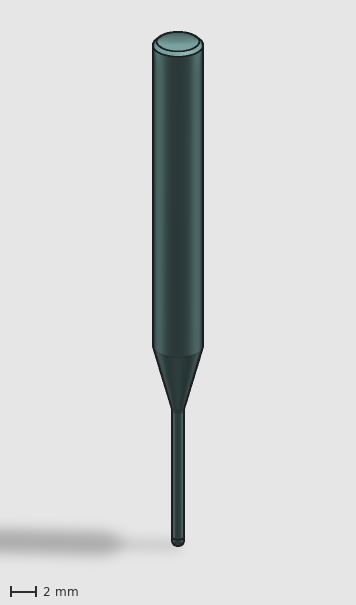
import cadquery as cq
import math

total_length = 45.0
shank_diameter = 4.0
shank_radius = shank_diameter / 2
shank_chamfer = 0.3

neck_radius = 0.5
neck_end_z = 12.1
taper_half_angle = math.radians(15)
blend_radius = 1.0

ball_radius = neck_radius
tip_length = 0.75


def make_shank():
    """Chamfered shank, taper, tangent blend and neck, ending flat on the tip."""
    blend_center_r = neck_radius + blend_radius

    def blend_point(angle):
        return (
            blend_center_r - blend_radius * math.cos(angle),
            neck_end_z + blend_radius * math.sin(angle),
        )

    blend_end = blend_point(taper_half_angle)
    taper_top_z = blend_end[1] + (shank_radius - blend_end[0]) / math.tan(taper_half_angle)

    profile = (
        cq.Workplane("XZ")
        .moveTo(0, tip_length)
        .lineTo(neck_radius, tip_length)
        .lineTo(neck_radius, neck_end_z)
        .threePointArc(blend_point(taper_half_angle / 2), blend_end)
        .lineTo(shank_radius, taper_top_z)
        .lineTo(shank_radius, total_length - shank_chamfer)
        .lineTo(shank_radius - shank_chamfer, total_length)
        .lineTo(0, total_length)
        .close()
    )
    return profile.revolve(360, (0, 0, 0), (0, 1, 0))


def make_tip():
    """Hemispherical nose with a short cylindrical land above it."""
    arc_offset = ball_radius * math.sqrt(0.5)
    profile = (
        cq.Workplane("XZ")
        .moveTo(0, 0)
        .threePointArc((arc_offset, ball_radius - arc_offset), (ball_radius, ball_radius))
        .lineTo(ball_radius, tip_length)
        .lineTo(0, tip_length)
        .close()
    )
    return profile.revolve(360, (0, 0, 0), (0, 1, 0))


shank = make_shank()
tip = make_tip()

result = cq.Compound.makeCompound([shank.val(), tip.val()])